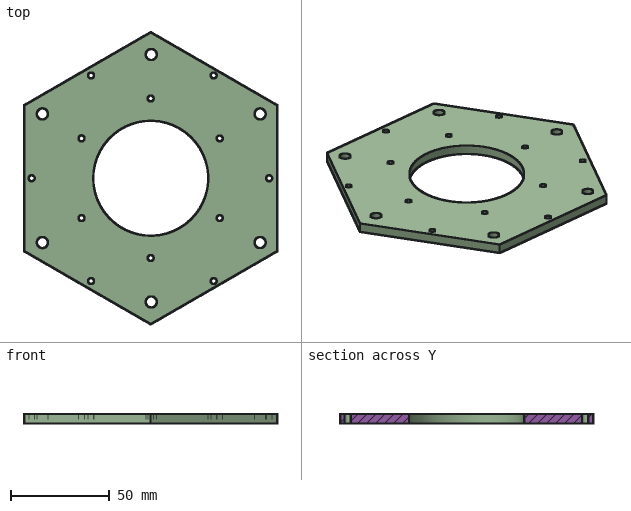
import cadquery as cq
import math

HEXAGON_SIDES = 6
SECTOR = 360 / HEXAGON_SIDES
HALF_SECTOR = SECTOR / 2
ACROSS_FLATS = 127.87
ACROSS_CORNERS = ACROSS_FLATS / math.cos(math.radians(HALF_SECTOR))
THICKNESS = 5.0

BORE_DIAMETER = 58.0

CORNER_HOLE_DIAMETER = 5.5
CORNER_PATTERN_X = 0.25
END_HOLE_Y = 62.5
SIDE_HOLE_X = 55.0
SIDE_HOLE_Y = 32.5

SMALL_HOLE_DIAMETER = 2.9
INNER_CIRCLE_RADIUS = 40.3
INNER_CIRCLE_X = -0.05
EDGE_CIRCLE_RADIUS = 60.0
EDGE_CIRCLE_X = -0.15
RIGHT_EDGE_HOLE_X = 31.8


def circle_point(center_x, radius, degrees):
    """Return a point on a circle whose centre lies on the X axis."""
    angle = math.radians(degrees)
    return (center_x + radius * math.cos(angle), radius * math.sin(angle))


def make_hexagon():
    blank = cq.Workplane("XY").polygon(HEXAGON_SIDES, ACROSS_CORNERS).extrude(THICKNESS)
    return blank.rotate((0, 0, 0), (0, 0, 1), HALF_SECTOR)


def drill(plate, points, diameter):
    """Cut a through hole at each point."""
    return plate.faces(">Z").workplane(origin=(0, 0, THICKNESS)).pushPoints(points).hole(diameter)


def corner_hole_points():
    points = []
    for side in (1, -1):
        points.append((CORNER_PATTERN_X, side * END_HOLE_Y))
        for end in (1, -1):
            points.append((CORNER_PATTERN_X + side * SIDE_HOLE_X, end * SIDE_HOLE_Y))
    return points


def inner_hole_points():
    angles = [HALF_SECTOR + SECTOR * i for i in range(HEXAGON_SIDES)]
    return [circle_point(INNER_CIRCLE_X, INNER_CIRCLE_RADIUS, angle) for angle in angles]


def edge_hole_points():
    """Return one hole per edge, near the middle of the edge except on the two sloped +X edges."""
    points = []
    for i in range(HEXAGON_SIDES):
        x, y = circle_point(EDGE_CIRCLE_X, EDGE_CIRCLE_RADIUS, SECTOR * i)
        on_right_sloped_edge = i in (1, HEXAGON_SIDES - 1)
        points.append((RIGHT_EDGE_HOLE_X if on_right_sloped_edge else x, y))
    return points


plate = make_hexagon()
plate = drill(plate, [(0, 0)], BORE_DIAMETER)
plate = drill(plate, corner_hole_points(), CORNER_HOLE_DIAMETER)
plate = drill(plate, inner_hole_points() + edge_hole_points(), SMALL_HOLE_DIAMETER)

result = plate